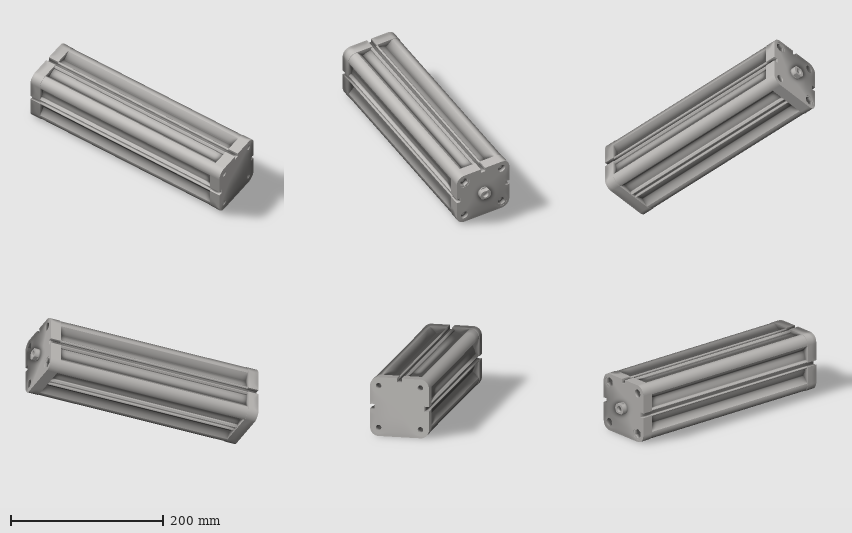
import cadquery as cq
import math


width = 79.5
half_width = width / 2
hole_pitch = 56.5
hole_offset = hole_pitch / 2
corner_radius = half_width - hole_offset
cap_length = 14.8
rod_projection = 7.5
total_length = 308.0
body_length = total_length - rod_projection
barrel_start = cap_length
barrel_length = body_length - 2 * cap_length

hole_diameter = 7.3
counterbore_diameter = 11.0
counterbore_depth = 5.0
hex_across_flats = counterbore_diameter
hex_depth = 6.0
spotface_diameter = 16.5
spotface_depth = 0.5

barrel_radius = 35.2
lobe_setback = 0.5
lobe_radius = corner_radius - lobe_setback
lobe_end = 26.4
root_fillet = 0.8
rail_top = 39.0
rail_top_half_width = 4.2
rail_base_half_width = 6.0
rail_wall_top = 36.7
rail_root = 33.5

slot_half_width = 3.4
slot_floor = half_width - 5.7
mouth_half_width = 2.3
lip_underside = 37.0

notch_mouth_half_width = 3.1
notch_lip_underside = half_width - 1.8

rod_diameter = 16.0
rod_across_flats = 13.0
flat_length = 5.8
thread_diameter = 8.5
thread_depth = 16.0
drill_point_angle = 118.0

SIDE_ANGLES = (0, 90, 180, 270)
NOTCHED_CAP_ANGLES = (0, 90, 270)


def prism(points, start, length):
    """Extrude a closed outline, given as (y, z) points, along X."""
    return cq.Workplane("YZ").workplane(offset=start).polyline(points).close().extrude(length)


def cylinder(diameter, start, length, y=0, z=0):
    """Round bar along X."""
    return cq.Workplane("YZ").workplane(offset=start).center(y, z).circle(diameter / 2).extrude(length)


def rounded_block(start, length):
    """Square block with rounded long edges."""
    block = cq.Workplane("YZ").workplane(offset=start).rect(width, width).extrude(length)
    return block.edges("|X").fillet(corner_radius)


def mirrored(half_outline):
    """Complete a half outline with its mirror image across y = 0."""
    return half_outline + [(-y, z) for y, z in reversed(half_outline)]


def turned(shape, angle):
    """Turn a shape made for the +Z side to another side."""
    return shape.rotate((0, 0, 0), (1, 0, 0), angle)


def corner_holes(start, length):
    """Through holes on the square screw pattern."""
    plane = cq.Workplane("YZ").workplane(offset=start)
    centers = plane.rect(hole_pitch, hole_pitch, forConstruction=True).vertices()
    return centers.circle(hole_diameter / 2).extrude(length)


def quarter_turns(point, count):
    """Turn a (y, z) point about the X axis by a number of quarter turns."""
    y, z = point
    for _ in range(count):
        y, z = -z, y
    return (y, z)


def barrel_blank():
    """Round tube wall with a rounded lobe around each screw hole, joined by 45 degree slopes."""
    lobe_end_height = hole_offset + math.sqrt(lobe_radius**2 - (hole_offset - lobe_end)**2)
    lobe_top = hole_offset + lobe_radius * math.cos(math.pi / 4)
    slope_offset = lobe_end_height - lobe_end
    root = (math.sqrt(2 * barrel_radius**2 - slope_offset**2) - slope_offset) / 2
    root_height = root + slope_offset

    outline = cq.Workplane("YZ").workplane(offset=barrel_start).moveTo(lobe_end_height, lobe_end)
    for count in range(4):
        outline = (
            outline
            .threePointArc(quarter_turns((lobe_top, lobe_top), count),
                           quarter_turns((lobe_end, lobe_end_height), count))
            .lineTo(*quarter_turns((root, root_height), count))
            .threePointArc(quarter_turns((0, barrel_radius), count),
                           quarter_turns((-root, root_height), count))
            .lineTo(*quarter_turns((-lobe_end, lobe_end_height), count))
        )
    blank = outline.close().extrude(barrel_length)

    middle = barrel_start + barrel_length / 2
    for count in range(4):
        for side in (-1, 1):
            y, z = quarter_turns((side * root, root_height), count)
            blank = blank.edges(cq.selectors.NearestToPointSelector((middle, y, z))).fillet(root_fillet)
    return blank


def make_barrel():
    barrel = barrel_blank()

    rail = prism(
        mirrored([(rail_base_half_width, rail_root), (rail_base_half_width, rail_wall_top),
                  (rail_top_half_width, rail_top)]),
        barrel_start,
        barrel_length,
    )
    mouth_chamfer = slot_half_width - mouth_half_width
    slot = prism(
        mirrored([
            (slot_half_width, slot_floor),
            (slot_half_width, lip_underside),
            (mouth_half_width, lip_underside),
            (mouth_half_width, rail_top - mouth_chamfer),
            (slot_half_width, rail_top),
        ]),
        barrel_start,
        barrel_length,
    )
    for angle in SIDE_ANGLES:
        barrel = barrel.union(turned(rail, angle))
        barrel = barrel.cut(turned(slot, angle))
    return barrel.cut(corner_holes(barrel_start, barrel_length))


def make_cap(start):
    """End cap with through screw holes and sensor-slot notches."""
    cap = rounded_block(start, cap_length).cut(corner_holes(start, cap_length))
    notch = prism(
        mirrored([(slot_half_width, slot_floor),
                  (slot_half_width, notch_lip_underside),
                  (notch_mouth_half_width, notch_lip_underside),
                  (notch_mouth_half_width, half_width)]),
        start,
        cap_length,
    )
    for angle in NOTCHED_CAP_ANGLES:
        cap = cap.cut(turned(notch, angle))
    return cap


def make_front_cap():
    cap = make_cap(0)
    cap = cap.cut(cylinder(rod_diameter, 0, cap_length))
    hex_corner_diameter = hex_across_flats / math.cos(math.pi / 6)
    hexagon = turned(cq.Workplane("YZ").polygon(6, hex_corner_diameter).extrude(hex_depth), 90)
    for y in (-hole_offset, hole_offset):
        cap = cap.cut(cylinder(counterbore_diameter, 0, counterbore_depth, y, -y))
        cap = cap.cut(cylinder(spotface_diameter, 0, spotface_depth, y, y))
        cap = cap.cut(hexagon.translate((0, y, y)))
    return cap


def make_rod():
    """Rod end with two wrench flats and a blind threaded hole."""
    tip = -rod_projection
    rod = cylinder(rod_diameter, tip, rod_projection + cap_length)
    flat_gap = cq.Workplane("XY").box(flat_length, rod_diameter, rod_diameter, centered=(False, True, False))
    for angle in (0, 180):
        rod = rod.cut(turned(flat_gap.translate((tip, 0, rod_across_flats / 2)), angle))
    thread_radius = thread_diameter / 2
    point_length = thread_radius / math.tan(math.radians(drill_point_angle / 2))
    drill = (
        cq.Workplane("XY")
        .polyline([
            (tip, 0),
            (tip, thread_radius),
            (tip + thread_depth, thread_radius),
            (tip + thread_depth + point_length, 0),
        ])
        .close()
        .revolve(360, (0, 0, 0), (1, 0, 0))
    )
    return rod.cut(drill)


barrel = make_barrel()
front_cap = make_front_cap()
rear_cap = make_cap(barrel_start + barrel_length)
rod = make_rod()

result = cq.Compound.makeCompound([barrel.val(), front_cap.val(), rear_cap.val(), rod.val()])